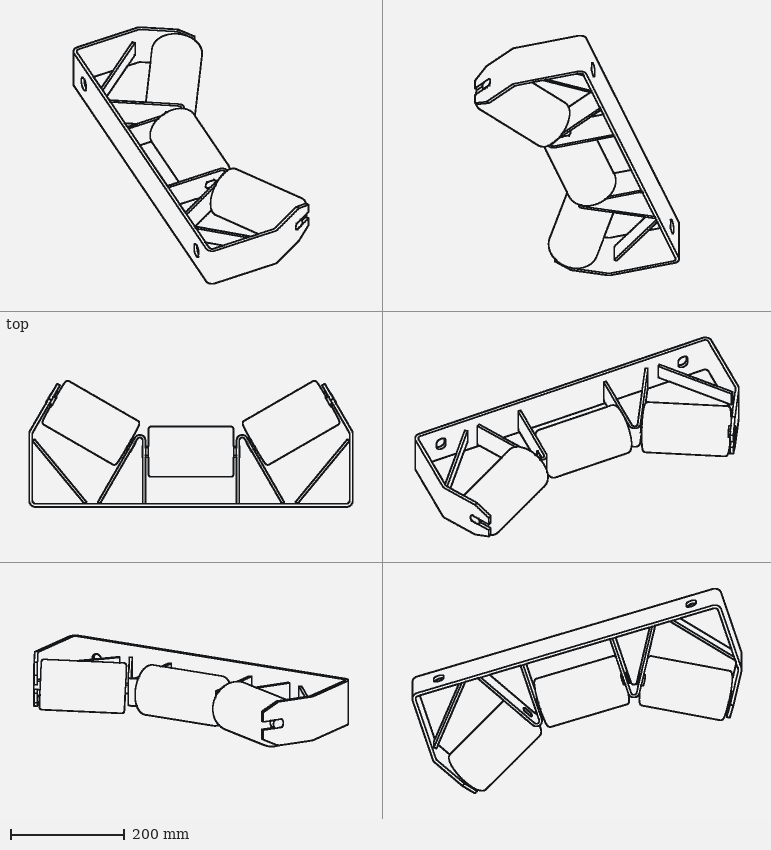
import cadquery as cq
import math

frame_length = 570.0
frame_width = 80.0
frame_thickness = 6.0
frame_bend_radius = 12.0
knee_y = 131.5
arm_length = 99.0
lean_angle = 30.0
arm_corner_along = 30.0
arm_corner_across = 15.0
axle_from_tip = 30.0
mounting_slot_spacing = 466.0
mounting_slot_width = 18.0
mounting_slot_length = 27.0

roller_diameter = 89.0
roller_length = 150.0
roller_edge_radius = 5.0
roller_gap = 5.0
axle_diameter = 20.0
axle_flat_width = 15.0
axle_overhang = 0.5
inner_axle_drop = 6.8
center_axis_y = 97.5

bracket_width = 50.0
bracket_thickness = 5.0
bracket_bend_radius = 10.0
gusset_width = 30.0
gusset_thickness = 5.0
gusset_wall_y = 116.5
gusset_foot_x = 187.6

lean_cos = math.cos(math.radians(lean_angle))
lean_sin = math.sin(math.radians(lean_angle))
up_arm = cq.Vector(lean_sin, lean_cos, 0)
off_arm = cq.Vector(lean_cos, -lean_sin, 0)
vertical = cq.Vector(0, 0, 1)
mount_span = roller_length + 2 * roller_gap

frame_corner = cq.Vector(-frame_length / 2, 0, 0)
knee = cq.Vector(-frame_length / 2, knee_y, 0)
arm_tip = knee + up_arm * arm_length
axle_entry = knee + up_arm * (arm_length - axle_from_tip)

axle_drop = cq.Vector(0, 0, -inner_axle_drop)
outer_seat = axle_entry + off_arm * frame_thickness
inner_seat = outer_seat + off_arm * mount_span + axle_drop
side_axis = (inner_seat - outer_seat).normalized()
side_center = (outer_seat + inner_seat) * 0.5
center_roller_center = cq.Vector(0, center_axis_y, -inner_axle_drop)

frame_reach = mount_span / 2 + frame_thickness + axle_overhang
bracket_reach = mount_span / 2 + bracket_thickness + axle_overhang


def mirrored(body):
    return body.mirror("YZ")


def bent_sheet(points, bend_radius, thickness, width):
    """Sheet on the right-hand side of the path through the points, bent at each inner point."""
    tolerance = 1e-3
    path = cq.Wire.makePolygon(points)
    bends = [
        vertex
        for vertex in path.Vertices()
        if min((vertex.Center() - point).Length for point in points[1:-1]) < tolerance
    ]
    path = path.fillet2D(bend_radius, bends)
    along = (points[1] - points[0]).normalized()
    profile_plane = cq.Plane(origin=points[0], xDir=along.cross(vertical), normal=along)
    profile = cq.Workplane(profile_plane).center(thickness / 2, 0).rect(thickness, width)
    return profile.sweep(cq.Workplane(path))


def make_roller(center, axis, back_reach, front_reach):
    """Drum on a flatted axle; the two reaches run from the drum's middle to the axle ends."""
    plane = cq.Plane(origin=center, xDir=vertical.cross(axis), normal=axis)
    drum = (
        cq.Workplane(plane)
        .workplane(offset=-roller_length / 2)
        .circle(roller_diameter / 2)
        .extrude(roller_length)
        .edges()
        .fillet(roller_edge_radius)
    )
    axle_start = cq.Workplane(plane).workplane(offset=-back_reach)
    axle_length = back_reach + front_reach
    bar = axle_start.circle(axle_diameter / 2).extrude(axle_length)
    flats = axle_start.rect(2 * axle_diameter, axle_flat_width).extrude(axle_length)
    return drum.union(bar.intersect(flats))


def make_frame():
    """Bent strip with mounting slots, clipped arm corners and open axle slots."""
    left_half = [arm_tip, knee, frame_corner]
    right_half = [cq.Vector(-point.x, point.y, 0) for point in left_half]
    path_points = right_half + left_half[::-1]
    frame = bent_sheet(path_points, frame_bend_radius, frame_thickness, frame_width)

    mounting_slots = (
        cq.Workplane("XZ")
        .pushPoints([(-mounting_slot_spacing / 2, 0), (mounting_slot_spacing / 2, 0)])
        .slot2D(mounting_slot_length, mounting_slot_width, 90)
        .extrude(-frame_thickness)
    )
    frame = frame.cut(mounting_slots)

    arm_face = cq.Plane(origin=arm_tip, xDir=up_arm, normal=up_arm.cross(vertical))
    cut_depth = 2 * frame_thickness
    edge = frame_width / 2
    for side in (1, -1):
        corner_outline = [
            (0, side * (edge - arm_corner_across)),
            (0, side * edge),
            (-arm_corner_along, side * edge),
        ]
        corner = cq.Workplane(arm_face).polyline(corner_outline).close().extrude(cut_depth, both=True)
        frame = frame.cut(corner).cut(mirrored(corner))

    axle_slot = (
        cq.Workplane(arm_face)
        .center(-axle_from_tip / 2, 0)
        .rect(axle_from_tip, axle_flat_width)
        .extrude(cut_depth, both=True)
    )
    return frame.cut(axle_slot).cut(mirrored(axle_slot))


def make_bracket():
    """Bracket of the -X side: a leaning leg and an upright leg joined by a bend."""
    upright_x = -mount_span / 2
    lean_point = outer_seat + off_arm * mount_span
    apex = lean_point + up_arm * ((upright_x - lean_point.x) / lean_sin)
    foot_y = frame_thickness + bracket_thickness * lean_sin
    lean_foot = lean_point + up_arm * ((foot_y - lean_point.y) / lean_cos)
    upright_foot = cq.Vector(upright_x, frame_thickness, 0)
    path_points = [point + axle_drop for point in (lean_foot, apex, upright_foot)]
    return bent_sheet(path_points, bracket_bend_radius, bracket_thickness, bracket_width)


def make_gusset():
    """Straight brace of the -X side, from the end wall to the base of the frame."""
    wall = cq.Vector(-frame_length / 2 + frame_thickness, gusset_wall_y, 0)
    foot = cq.Vector(-gusset_foot_x, frame_thickness, 0)
    length = (foot - wall).Length
    plane = cq.Plane(origin=wall, xDir=(foot - wall).normalized(), normal=vertical)
    return (
        cq.Workplane(plane)
        .center(length / 2, gusset_thickness / 2)
        .rect(length, gusset_thickness)
        .extrude(gusset_width / 2, both=True)
    )


side_roller = make_roller(side_center, side_axis, frame_reach, bracket_reach)
center_roller = make_roller(center_roller_center, cq.Vector(1, 0, 0), bracket_reach, bracket_reach)
frame = make_frame().cut(side_roller).cut(mirrored(side_roller))
bracket = make_bracket().cut(side_roller).cut(center_roller)
gusset = make_gusset()

bodies = [frame.val(), center_roller.val()]
for body in (side_roller, bracket, gusset):
    bodies += [body.val(), mirrored(body).val()]

result = cq.Compound.makeCompound(bodies)